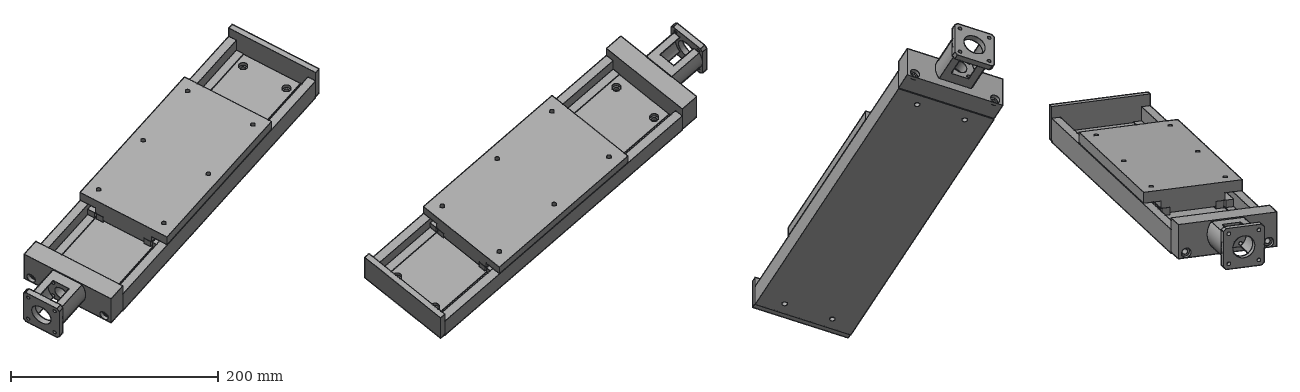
import cadquery as cq

base_width = 101.5
base_length = 330.0
base_height = 24.5
channel_width = 83.5
floor_height = 9.2
floor_width = 66.5
ledge_height = 10.0
base_hole_spacing_x = 50.5
base_hole_spacing_y = 305.0
base_bore = 5.2
base_counterbore = 9.0
base_counterbore_depth = 4.0

plate_bottom = 1.2
plate_top = 36.5
end_plate_thickness = 6.0
drive_plate_thickness = 20.0
drive_hole_spacing = 85.0
drive_hole_height = 6.5
drive_bore = 5.5
drive_counterbore = 9.5
drive_counterbore_depth = 4.0

table_length = 179.0
table_bottom = 25.3
table_top = plate_top
keel_width = 65.8
keel_bottom = 12.5
table_hole_spacing_x = 76.2
table_hole_spacing_y = 76.2
table_hole_diameter = 4.5
table_hole_depth = 8.0

rail_width = 8.0
rail_height = 7.5
rail_bottom = ledge_height
rail_top = rail_bottom + rail_height
wall_rail_x = channel_width / 2 - rail_width / 2
table_rail_inner_x = 23.5
table_rail_x = table_rail_inner_x + rail_width / 2

mount_length = 45.0
mount_axis_height = 22.65
mount_diameter = 42.0
mount_flat_height = 25.3
flange_size = mount_diameter
flange_thickness = 6.0
flange_chamfer = 3.0
flange_hole_spacing = 31.0
wall_hole_spacing = 18.5
mount_hole_diameter = 3.5
pilot_bore = 22.5
cavity_diameter = 30.0
shaft_bore = 14.5
window_width = 18.5
window_length = 27.5

base_front = -base_length / 2
base_back = base_length / 2
drive_front = base_front - drive_plate_thickness
mount_front = drive_front - mount_length
flange_back = mount_front + flange_thickness
window_back = flange_back + window_length


def block(x_size, y_start, y_end, z_start, z_end, x_centre=0):
    """Box given by its width and its ranges in Y and Z."""
    size_y = y_end - y_start
    size_z = z_end - z_start
    return (
        cq.Workplane("XY")
        .box(x_size, size_y, size_z, centered=(True, False, False))
        .translate((x_centre, y_start, z_start))
    )


def bar_along_y(diameter, y_start, y_end, x=0, z=mount_axis_height):
    """Cylinder with its axis parallel to Y."""
    axis_point = cq.Vector(x, y_start, z)
    return cq.Workplane(cq.Solid.makeCylinder(diameter / 2, y_end - y_start, axis_point, cq.Vector(0, 1, 0)))


def make_base_hole_cylinders(diameter, z_start, z_end):
    """Upright cylinders at the four mounting holes of the base."""
    return (
        cq.Workplane("XY", origin=(0, 0, z_start))
        .rarray(base_hole_spacing_x, base_hole_spacing_y, 2, 2)
        .circle(diameter / 2)
        .extrude(z_end - z_start)
    )


def make_base():
    base = block(base_width, base_front, base_back, 0, base_height)
    base = base.cut(block(channel_width, base_front, base_back, ledge_height, base_height))
    base = base.cut(block(floor_width, base_front, base_back, floor_height, ledge_height))
    counterbore_floor = floor_height - base_counterbore_depth
    base = base.cut(make_base_hole_cylinders(base_bore, 0, floor_height))
    return base.cut(make_base_hole_cylinders(base_counterbore, counterbore_floor, floor_height))


def make_end_plate():
    return block(base_width, base_back, base_back + end_plate_thickness, plate_bottom, plate_top)


def make_drive_plate():
    plate = block(base_width, drive_front, base_front, plate_bottom, plate_top)
    for x in (-drive_hole_spacing / 2, drive_hole_spacing / 2):
        counterbore_end = drive_front + drive_counterbore_depth
        plate = plate.cut(bar_along_y(drive_bore, drive_front, base_front, x, drive_hole_height))
        plate = plate.cut(bar_along_y(drive_counterbore, drive_front, counterbore_end, x, drive_hole_height))
    return plate


def make_table():
    front = -table_length / 2
    back = table_length / 2
    table = block(base_width, front, back, table_bottom, table_top)
    table = table.union(block(keel_width, front, back, rail_top, table_bottom))
    table = table.union(block(2 * table_rail_inner_x, front, back, keel_bottom, rail_top))
    return (
        table.faces(">Z")
        .workplane(origin=(0, 0, table_top))
        .rarray(table_hole_spacing_x, table_hole_spacing_y, 2, 3)
        .hole(table_hole_diameter, table_hole_depth)
    )


def make_rail(x_centre):
    return block(rail_width, -table_length / 2, table_length / 2, rail_bottom, rail_top, x_centre)


def four_mount_holes(spacing, y_start, y_end):
    """Screw holes on a square pattern around the mount axis."""
    offsets = (-spacing / 2, spacing / 2)
    return [
        bar_along_y(mount_hole_diameter, y_start, y_end, x, mount_axis_height + z)
        for x in offsets
        for z in offsets
    ]


def make_motor_mount():
    mount = bar_along_y(mount_diameter, flange_back, drive_front).intersect(
        block(
            mount_diameter,
            flange_back,
            drive_front,
            mount_axis_height - mount_flat_height / 2,
            mount_axis_height + mount_flat_height / 2,
        )
    )
    flange_bottom = mount_axis_height - flange_size / 2
    flange = block(flange_size, mount_front, flange_back, flange_bottom, flange_bottom + flange_size)
    mount = mount.union(flange.edges("|Y").chamfer(flange_chamfer))
    mount = mount.cut(block(window_width, flange_back, window_back, 0, flange_bottom + flange_size))
    mount = mount.cut(bar_along_y(pilot_bore, mount_front, flange_back))
    mount = mount.cut(bar_along_y(cavity_diameter, flange_back, window_back))
    mount = mount.cut(bar_along_y(shaft_bore, window_back, drive_front))
    flange_holes = four_mount_holes(flange_hole_spacing, mount_front, flange_back)
    wall_holes = four_mount_holes(wall_hole_spacing, window_back, drive_front)
    for hole in flange_holes + wall_holes:
        mount = mount.cut(hole)
    return mount


base = make_base()
end_plate = make_end_plate()
drive_plate = make_drive_plate()
table = make_table()
rails = [make_rail(x) for x in (-wall_rail_x, -table_rail_x, table_rail_x, wall_rail_x)]
motor_mount = make_motor_mount()

result = cq.Compound.makeCompound(
    [
        base.val(),
        end_plate.val(),
        drive_plate.val(),
        table.val(),
        *[rail.val() for rail in rails],
        motor_mount.val(),
    ]
)